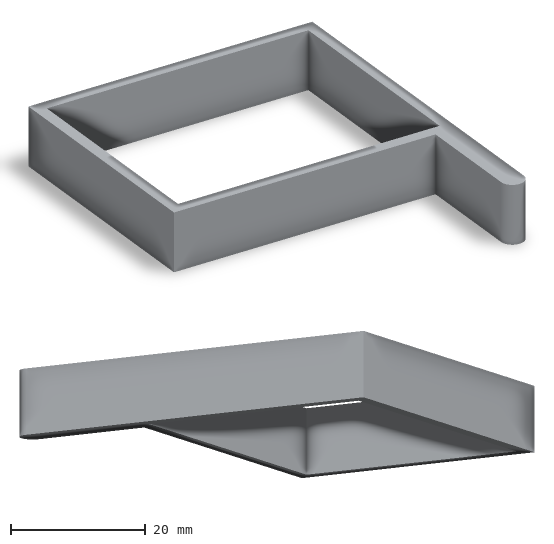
import cadquery as cq

overall_length = 60.0
frame_length = 40.0
frame_width = 50.0
height = 10.0
wall = 2.0
arm_width = 2 * wall

tip_radius = arm_width / 2
arm_straight_end = overall_length - tip_radius


def make_frame():
    """Rectangular frame with its outer corner at the origin."""
    outer = cq.Workplane("XY").box(frame_length, frame_width, height, centered=False)
    opening = (
        cq.Workplane("XY")
        .box(frame_length - 2 * wall, frame_width - 2 * wall, height, centered=False)
        .translate((wall, wall, 0))
    )
    return outer.cut(opening)


def make_arm():
    """Round-ended arm continuing the back wall of the frame along +X."""
    arm_start = frame_length - wall
    return (
        cq.Workplane("XY")
        .moveTo(arm_start, frame_width)
        .lineTo(arm_straight_end, frame_width)
        .threePointArc(
            (overall_length, frame_width - tip_radius),
            (arm_straight_end, frame_width - arm_width),
        )
        .lineTo(frame_length, frame_width - arm_width)
        .lineTo(frame_length, frame_width - wall)
        .lineTo(arm_start, frame_width - wall)
        .close()
        .extrude(height)
    )


result = make_frame().union(make_arm(), clean=True)